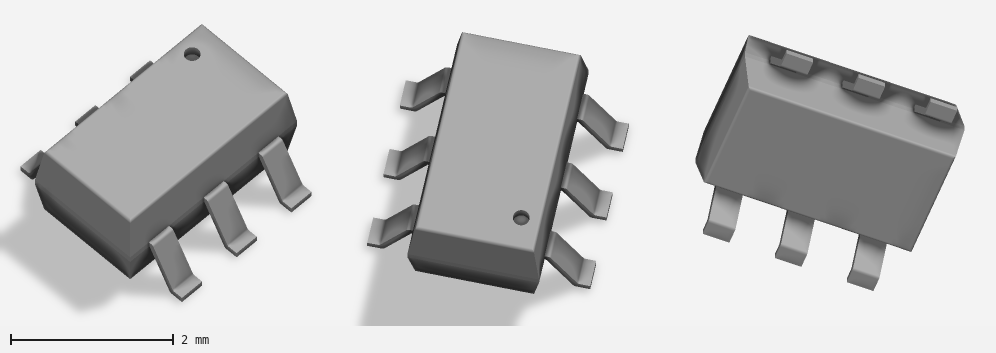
import cadquery as cq
import math

body_length = 2.9
body_width = 1.653
overall_height = 1.3
standoff = 0.05
band_bottom = 0.603
band_top = 0.7
upper_draft = 8.0
edge_radius = 0.038

marker_diameter = 0.205
marker_depth = 0.15
marker_x = -0.495
marker_y = 0.95

lead_span = 2.8
lead_pitch = 0.95
lead_width = 0.35
lead_thickness = 0.087
leads_per_side = 3
leg_angle = 60.0
foot_length = 0.203
outer_bend_radius = 0.044
inner_bend_radius = 0.035


def make_housing():
    """Upright band with a drafted block above and below it, rims rounded."""
    upper_height = overall_height - band_top
    lower_height = band_bottom - standoff
    end_inset = upper_height * math.tan(math.radians(upper_draft))
    lower_draft = math.degrees(math.atan(end_inset / lower_height))

    band = (
        cq.Workplane("XY")
        .workplane(offset=band_bottom)
        .rect(body_width, body_length)
        .extrude(band_top - band_bottom)
    )
    upper = (
        cq.Workplane("XY")
        .workplane(offset=band_top)
        .rect(body_width, body_length)
        .extrude(upper_height, taper=upper_draft)
    )
    lower = (
        cq.Workplane("XY")
        .workplane(offset=band_bottom)
        .rect(body_width, body_length)
        .extrude(-lower_height, taper=lower_draft)
    )
    housing = band.union(upper).union(lower)
    housing = housing.faces(">Z or <Z").edges().fillet(edge_radius)
    marker = (
        cq.Workplane("XY")
        .workplane(offset=overall_height - marker_depth)
        .center(marker_x, marker_y)
        .circle(marker_diameter / 2)
        .extrude(marker_depth)
    )
    return housing.cut(marker)


def make_lead(side, y_center):
    """Gull-wing lead butted on the band; side is -1 for the -X row, +1 for the +X row."""
    tip_x = lead_span / 2
    root_x = body_width / 2
    leg_slope = math.tan(math.radians(leg_angle))
    rise = band_top - lead_thickness
    mitre_shift = lead_thickness * math.tan(math.radians(leg_angle / 2))
    heel_x = tip_x - foot_length
    knee_x = heel_x - rise / leg_slope
    profile = [
        (tip_x, 0),
        (heel_x, 0),
        (knee_x, rise),
        (root_x, rise),
        (root_x, band_top),
        (knee_x + mitre_shift, band_top),
        (heel_x + mitre_shift, lead_thickness),
        (tip_x, lead_thickness),
    ]
    bends = [
        (heel_x, 0, outer_bend_radius),
        (knee_x + mitre_shift, band_top, outer_bend_radius),
        (heel_x + mitre_shift, lead_thickness, inner_bend_radius),
    ]
    lead = (
        cq.Workplane("XZ", origin=(0, y_center, 0))
        .polyline([(side * x, z) for x, z in profile])
        .close()
        .extrude(lead_width / 2, both=True)
    )
    for x, z, radius in bends:
        corner = cq.selectors.NearestToPointSelector((side * x, y_center, z))
        lead = lead.edges("|Y").edges(corner).fillet(radius)
    return lead


housing = make_housing()
leads = []
for side in (-1, 1):
    for index in range(leads_per_side):
        y_center = (index - (leads_per_side - 1) / 2) * lead_pitch
        leads.append(make_lead(side, y_center))

result = cq.Compound.makeCompound([housing.val(), *[lead.val() for lead in leads]])